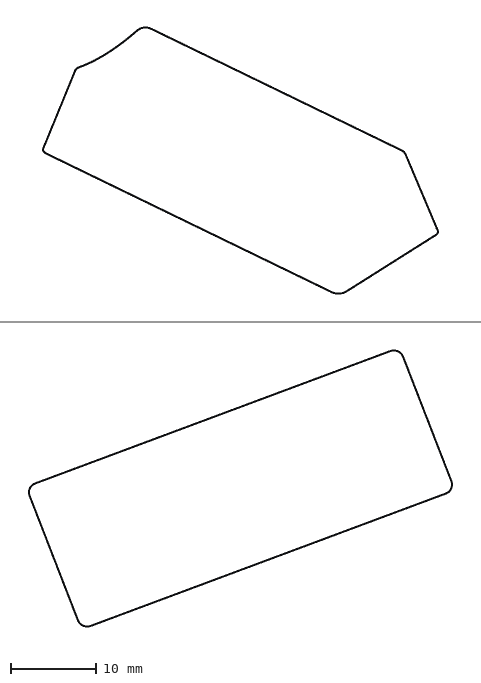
import cadquery as cq

base_length = 46.9
base_width = 18.3

wall_draft = 13.8

blank_height = 13.13

dish_radius = 19.7
dish_floor_height = 10.35

corner_radius = 1.2
rim_radius = 0.55


def tapered_blank():
    """Drafted block with rounded sloping corners."""
    block = cq.Workplane("XY").rect(base_length, base_width).extrude(blank_height, taper=wall_draft)
    sloping_corners = block.edges("not(#Z)")
    return sloping_corners.fillet(corner_radius)


def dish_cutter():
    """Cylinder lying along X whose lowest line is the floor of the dish."""
    return (
        cq.Workplane("YZ")
        .center(0, dish_floor_height + dish_radius)
        .circle(dish_radius)
        .extrude(base_length / 2, both=True)
    )


def round_rim(cap):
    """Round the closed edge where the dish meets the walls."""
    floor_centre = cq.selectors.NearestToPointSelector((0, 0, dish_floor_height))
    dish_face = cap.faces(floor_centre)
    return dish_face.edges().fillet(rim_radius)


dished_cap = tapered_blank().cut(dish_cutter())
result = round_rim(dished_cap)